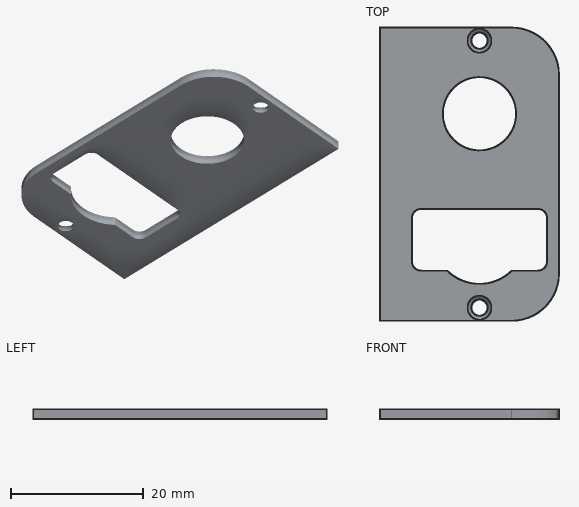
import cadquery as cq
import math

plate_width = 27.0
plate_length = 44.2
plate_thickness = 1.5
corner_radius = 7.2

opening_center_x = 15.0

screw_edge_distance = 2.0
screw_hole_diameter = 2.4
countersink_diameter = 3.6
countersink_angle = 90.0

round_opening_diameter = 11.0
round_opening_y = 31.2

window_width = 20.3
window_height = 9.25
window_bottom_y = 7.6
window_corner_radius = 1.35
bulge_radius = 6.95
bulge_depth = 2.0


def make_plate():
    """Flat plate, rounded at the two corners on the +X side."""
    plate = cq.Workplane("XY").box(plate_width, plate_length, plate_thickness, centered=False)
    return plate.edges("|Z and >X").fillet(corner_radius)


def make_round_opening():
    return (
        cq.Workplane("XY")
        .center(opening_center_x, round_opening_y)
        .circle(round_opening_diameter / 2)
        .extrude(plate_thickness)
    )


def make_window():
    """Rounded rectangle joined with a circular segment below its lower edge."""
    rectangle = (
        cq.Workplane("XY")
        .center(opening_center_x, window_bottom_y + window_height / 2)
        .rect(window_width, window_height)
        .extrude(plate_thickness)
        .edges("|Z")
        .fillet(window_corner_radius)
    )
    bulge_half_chord = math.sqrt(bulge_depth * (2 * bulge_radius - bulge_depth))
    bulge = (
        cq.Workplane("XY")
        .center(opening_center_x, window_bottom_y)
        .moveTo(-bulge_half_chord, 0)
        .threePointArc((0, -bulge_depth), (bulge_half_chord, 0))
        .close()
        .extrude(plate_thickness)
    )
    return rectangle.union(bulge)


def drill_screw_holes(plate):
    """Through holes countersunk from the top face."""
    screw_positions = [
        (opening_center_x, screw_edge_distance),
        (opening_center_x, plate_length - screw_edge_distance),
    ]
    return (
        plate.faces(">Z")
        .workplane(origin=(0, 0, plate_thickness))
        .pushPoints(screw_positions)
        .cskHole(screw_hole_diameter, countersink_diameter, countersink_angle)
    )


plate_with_openings = make_plate().cut(make_round_opening()).cut(make_window())
result = drill_screw_holes(plate_with_openings)